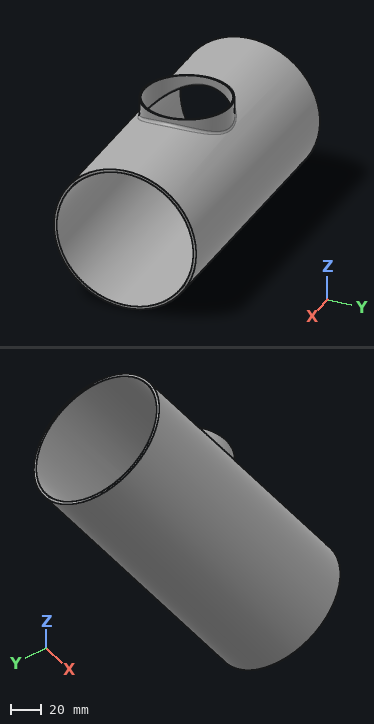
import cadquery as cq

pipe_length = 200.0
pipe_outer_diameter = 101.5
pipe_inner_diameter = 97.5

branch_outer_diameter = 62.2
branch_inner_diameter = 60.2
branch_top = 56.0

blend_radius = 2.0


def pipe_cylinder(diameter):
    """Solid cylinder along X, centred on the origin."""
    return cq.Workplane("YZ").circle(diameter / 2).extrude(pipe_length / 2, both=True)


def branch_cylinder(diameter):
    """Solid cylinder from the pipe axis up to the branch rim."""
    return cq.Workplane("XY").circle(diameter / 2).extrude(branch_top)


def blended_tee(pipe_diameter, branch_diameter):
    """Solid tee of two cylinders, with the saddle-shaped joint between them rounded."""
    tee = pipe_cylinder(pipe_diameter).union(branch_cylinder(branch_diameter))
    reach = branch_diameter / 2 + blend_radius
    joint_box = cq.selectors.BoxSelector(
        (-reach, -reach, 0),
        (reach, reach, branch_top - blend_radius),
    )
    return tee.edges(joint_box).edges("not #Z").fillet(blend_radius)


outer_tee = blended_tee(pipe_outer_diameter, branch_outer_diameter)
bore = blended_tee(pipe_inner_diameter, branch_inner_diameter)
result = outer_tee.cut(bore)